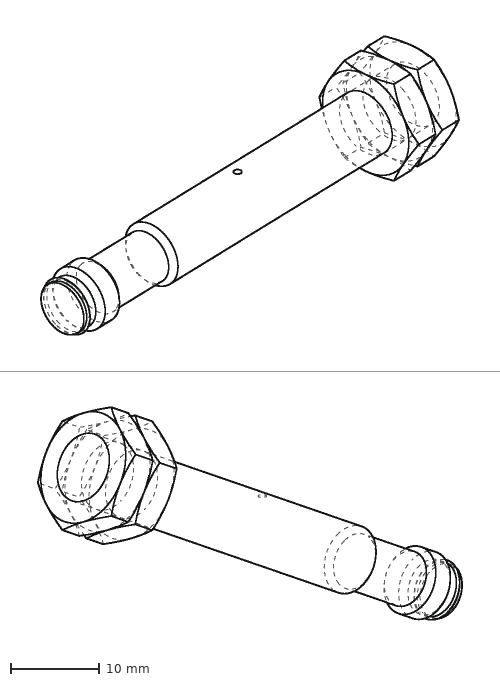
import cadquery as cq
import math

TOTAL_LENGTH = 60.0
FRONT_Y = -TOTAL_LENGTH / 2
REAR_Y = TOTAL_LENGTH / 2

BARREL_RADIUS = 8.0 / 2
NECK_RADIUS = 6.5 / 2
SHOULDER_CHAMFER = BARREL_RADIUS - NECK_RADIUS
BARREL_START = 14.5
COLLAR_START = 2.05
COLLAR_END = 6.0

RIDGE_CENTER = 0.7
RIDGE_HALF_WIDTH = 0.25
RIDGE_HEIGHT = 0.3

LAMP_RADIUS = 0.5
LAMP_HEIGHT = 0.1
LAMP_BALL_RADIUS = (LAMP_RADIUS**2 + LAMP_HEIGHT**2) / (2 * LAMP_HEIGHT)
LAMP_Y = 0.0

NUT_COUNT = 2
NUT_THICKNESS = 4.0
NUT_CORNER_DIAMETER = 15.0
NUT_FACE_RADIUS = NUT_CORNER_DIAMETER / 2 * math.cos(math.radians(30))
NUT_CHAMFER_ANGLE = 30


def revolve_about_y(profile):
    """Revolve (radius, y) points fully around the Y axis."""
    return cq.Workplane("XY").polyline(profile).close().revolve(360, (0, 0, 0), (0, 1, 0))


def make_sensor_body():
    """Turned barrel with a necked front, a chamfered collar and a tip ridge."""
    stations = [
        (0, 0),
        (NECK_RADIUS, 0),
        (NECK_RADIUS, RIDGE_CENTER - RIDGE_HALF_WIDTH),
        (NECK_RADIUS + RIDGE_HEIGHT, RIDGE_CENTER),
        (NECK_RADIUS, RIDGE_CENTER + RIDGE_HALF_WIDTH),
        (NECK_RADIUS, COLLAR_START),
        (BARREL_RADIUS, COLLAR_START + SHOULDER_CHAMFER),
        (BARREL_RADIUS, COLLAR_END - SHOULDER_CHAMFER),
        (NECK_RADIUS, COLLAR_END),
        (NECK_RADIUS, BARREL_START),
        (BARREL_RADIUS, BARREL_START + SHOULDER_CHAMFER),
        (BARREL_RADIUS, TOTAL_LENGTH),
        (0, TOTAL_LENGTH),
    ]
    return revolve_about_y([(radius, FRONT_Y + distance) for radius, distance in stations])


def make_lamp():
    """Shallow dome cut from a ball, rising just above the top of the barrel."""
    ball_center_z = BARREL_RADIUS + LAMP_HEIGHT - LAMP_BALL_RADIUS
    ball = (
        cq.Workplane("YZ")
        .sphere(LAMP_BALL_RADIUS)
        .translate((0, LAMP_Y, ball_center_z))
    )
    shank = (
        cq.Workplane("XY", origin=(0, LAMP_Y, ball_center_z))
        .circle(LAMP_RADIUS)
        .extrude(LAMP_BALL_RADIUS)
    )
    return ball.intersect(shank)


def make_sensor():
    return make_sensor_body().union(make_lamp())


def make_nut(front_y):
    """Hexagonal nut with corners chamfered on both faces and a plain bore."""
    hexagon = (
        cq.Workplane("XZ", origin=(0, front_y, 0))
        .polygon(6, NUT_CORNER_DIAMETER)
        .extrude(-NUT_THICKNESS)
    )
    corner_radius = NUT_CORNER_DIAMETER / 2
    chamfer_depth = (corner_radius - NUT_FACE_RADIUS) * math.tan(math.radians(NUT_CHAMFER_ANGLE))
    rear_y = front_y + NUT_THICKNESS
    chamfered_envelope = revolve_about_y([
        (BARREL_RADIUS, front_y),
        (NUT_FACE_RADIUS, front_y),
        (corner_radius, front_y + chamfer_depth),
        (corner_radius, rear_y - chamfer_depth),
        (NUT_FACE_RADIUS, rear_y),
        (BARREL_RADIUS, rear_y),
    ])
    return hexagon.intersect(chamfered_envelope)


sensor = make_sensor()
nuts = [make_nut(REAR_Y - (index + 1) * NUT_THICKNESS) for index in range(NUT_COUNT)]

result = cq.Compound.makeCompound([sensor.val(), *[nut.val() for nut in nuts]])